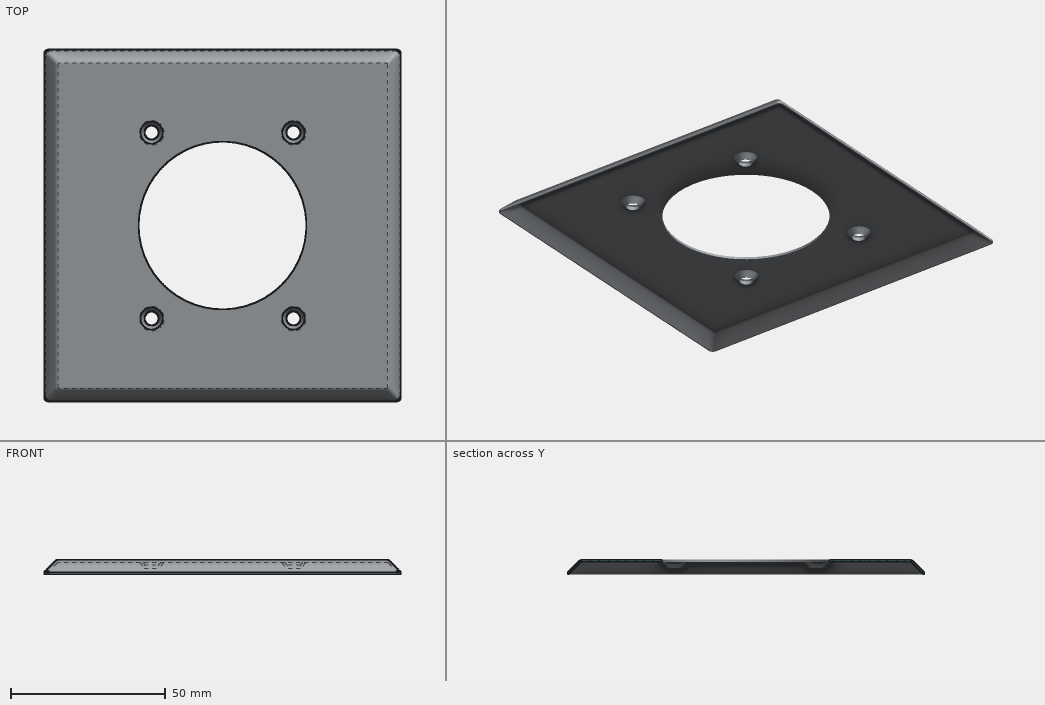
import cadquery as cq
import math

LENGTH_X = 115.82
LENGTH_Y = 114.3
HEIGHT = 4.75

SHEET_THICKNESS = 0.8
LIP_HEIGHT = 0.7
BEVEL_ANGLE = 45.0
CORNER_RADIUS = 1.6
BEND_RADIUS = 1.5

CENTER_HOLE_DIAMETER = 54.36
SCREW_SPACING_X = 46.04
SCREW_SPACING_Y = 60.33
SCREW_HOLE_DIAMETER = 4.4
COUNTERSINK_DIAMETER = 7.2
COUNTERSINK_ANGLE = 82.0
DIMPLE_DEPTH = 2.7

BEVEL_HEIGHT = HEIGHT - LIP_HEIGHT


def bevelled_body():
    """Solid plate with a short vertical lip, four sloping sides and rounded edges."""
    lip = cq.Workplane("XY").rect(LENGTH_X, LENGTH_Y).extrude(LIP_HEIGHT)
    bevel = (
        cq.Workplane("XY", origin=(0, 0, LIP_HEIGHT))
        .rect(LENGTH_X, LENGTH_Y)
        .extrude(BEVEL_HEIGHT, taper=BEVEL_ANGLE)
    )
    body = lip.union(bevel)
    body = body.edges("not(|X or |Y)").fillet(CORNER_RADIUS)
    return body.faces(">Z").edges().fillet(BEND_RADIUS)


def underside_hollow():
    """Space under the sheet, one sheet thickness inside the top and the slopes."""
    slope = math.radians(BEVEL_ANGLE)
    inset = SHEET_THICKNESS / math.cos(slope) - LIP_HEIGHT * math.tan(slope)
    hollow = (
        cq.Workplane("XY")
        .rect(LENGTH_X - 2 * inset, LENGTH_Y - 2 * inset)
        .extrude(HEIGHT - SHEET_THICKNESS, taper=BEVEL_ANGLE)
    )
    return hollow.edges("not(|X or |Y)").fillet(CORNER_RADIUS - SHEET_THICKNESS)


def at_screws(workplane):
    """Put the four screw positions on the stack."""
    return workplane.rect(SCREW_SPACING_X, SCREW_SPACING_Y, forConstruction=True).vertices()


def screw_dimples():
    """Cones under the sheet that carry the countersinks, parallel to them one thickness out."""
    half_angle = COUNTERSINK_ANGLE / 2
    top_radius = COUNTERSINK_DIAMETER / 2 + SHEET_THICKNESS / math.cos(math.radians(half_angle))
    top_plane = cq.Workplane("XY", origin=(0, 0, HEIGHT))
    return at_screws(top_plane).circle(top_radius).extrude(-DIMPLE_DEPTH, taper=half_angle)


def cut_openings(plate):
    """Round center opening and four countersunk screw holes."""
    top_plane = plate.faces(">Z").workplane(origin=(0, 0, HEIGHT))
    plate = top_plane.hole(CENTER_HOLE_DIAMETER)
    screw_plane = plate.faces(">Z").workplane(origin=(0, 0, HEIGHT))
    return at_screws(screw_plane).cskHole(SCREW_HOLE_DIAMETER, COUNTERSINK_DIAMETER, COUNTERSINK_ANGLE)


sheet = bevelled_body().cut(underside_hollow())
result = cut_openings(sheet.union(screw_dimples()))